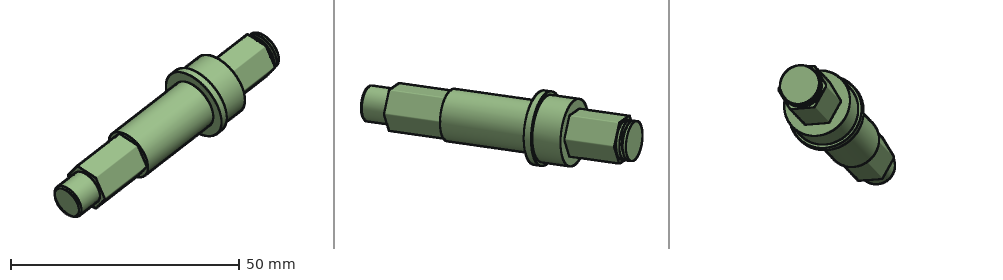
import cadquery as cq
import math

barrel_diameter = 11.68
barrel_length = 21.2
front_hex_length = 13.62
stub_diameter = 8.0
stub_length = 6.38
stub_chamfer = 0.4

flange_diameter = 16.51
flange_length = 1.75
body_diameter = 15.0
body_length = 6.75
rear_hex_length = 11.97
release_step = 0.79
release_diameter = 8.89
neck_diameter = 6.35

hex_across_flats = 9.525
hex_corner_radius = 0.38


def cylinder(start, length, diameter):
    """Round section from Y = start towards +Y."""
    plane = cq.Workplane("XZ", origin=(0, start, 0))
    return plane.circle(diameter / 2).extrude(-length)


def hexagon(start, length):
    """Hexagonal section with rounded corners from Y = start towards +Y."""
    sharp_diameter = hex_across_flats / math.cos(math.pi / 6)
    prism = cq.Workplane("XZ", origin=(0, start, 0)).polygon(6, sharp_diameter).extrude(-length)
    return prism.edges("|Y").fillet(hex_corner_radius)


def front_end():
    """Barrel, front hexagon and chamfered stub."""
    barrel_start = -barrel_length
    hex_start = barrel_start - front_hex_length
    stub_start = hex_start - stub_length
    barrel = cylinder(barrel_start, barrel_length, barrel_diameter)
    stub = cylinder(stub_start, stub_length, stub_diameter).faces("<Y").chamfer(stub_chamfer)
    return barrel.union(hexagon(hex_start, front_hex_length)).union(stub)


def rear_end():
    """Flange, body, rear hexagon and the stepped release collar."""
    hex_start = flange_length + body_length
    seat_start = hex_start + rear_hex_length
    neck_start = seat_start + release_step
    ring_start = neck_start + release_step
    flange = cylinder(0, flange_length, flange_diameter)
    body = cylinder(flange_length, body_length, body_diameter)
    seat = cylinder(seat_start, release_step, release_diameter)
    neck = cylinder(neck_start, release_step, neck_diameter)
    ring = cylinder(ring_start, release_step, release_diameter)
    end = flange.union(body).union(hexagon(hex_start, rear_hex_length))
    return end.union(seat).union(neck).union(ring)


result = front_end().union(rear_end())